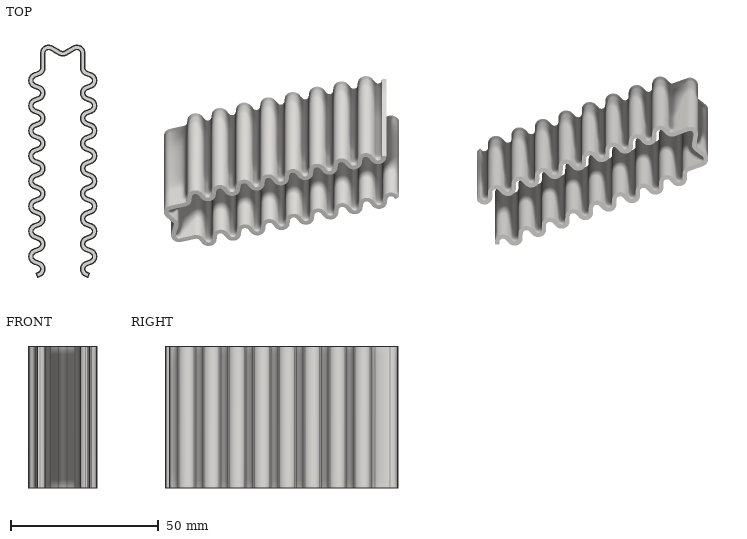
import cadquery as cq
import math

overall_width = 23.0
overall_length = 78.5
height = 48.0
thickness = 1.5
bend_radius = 2.0
wall_spacing = 13.5
wave_run = 68.0
wave_count = 8
notch_angle = 30.0

half_pitch = wave_run / wave_count / 2
wall_x = wall_spacing / 2
wave_depth = (overall_width - thickness) / 2 - wall_x
center_offset = wave_depth - 2 * bend_radius
center_distance = math.hypot(half_pitch, center_offset)
wave_straight = math.sqrt(center_distance**2 - (2 * bend_radius) ** 2)
wave_slope = math.degrees(
    math.acos(2 * bend_radius / center_distance) - math.atan2(center_offset, half_pitch)
)
crest_turn = 180 - 2 * wave_slope

notch_sin = math.sin(math.radians(notch_angle))
notch_cos = math.cos(math.radians(notch_angle))
shoulder_x = wall_x - bend_radius
notch_straight = (shoulder_x - 2 * bend_radius * notch_sin) / notch_cos
notch_depth = 2 * bend_radius * (1 - notch_cos) + notch_straight * notch_sin

tip_drop = thickness / 2 * math.cos(math.radians(wave_slope))
wave_length = wave_run + half_pitch / 2 + tip_drop
shoulder_height = bend_radius + thickness / 2
wall_length = overall_length - wave_length - shoulder_height


def half_strip_moves():
    """Straights and bends from the middle of the notch to the right leg tip; left turns are positive."""
    moves = [
        ("bend", notch_angle),
        ("straight", notch_straight),
        ("bend", -(90 + notch_angle)),
        ("straight", wall_length),
        ("bend", 90 - wave_slope),
    ]
    for _ in range(wave_count):
        moves += [
            ("straight", wave_straight),
            ("bend", -crest_turn),
            ("straight", wave_straight),
            ("bend", crest_turn),
        ]
    moves.append(("straight", wave_straight / 2))
    return moves


def step(point, heading, distance):
    """Point reached by travelling a distance along a heading in degrees."""
    angle = math.radians(heading)
    return (point[0] + distance * math.cos(angle), point[1] + distance * math.sin(angle))


def trace(moves, start):
    """Mid-line that leaves the start along +X and follows the moves."""
    path = cq.Workplane("XY").moveTo(*start)
    point = start
    heading = 0.0
    for kind, amount in moves:
        if kind == "straight":
            point = step(point, heading, amount)
            path = path.lineTo(*point)
        else:
            chord = 2 * bend_radius * math.sin(math.radians(abs(amount) / 2))
            half_chord = 2 * bend_radius * math.sin(math.radians(abs(amount) / 4))
            middle = step(point, heading + amount / 4, half_chord)
            point = step(point, heading + amount / 2, chord)
            path = path.threePointArc(middle, point)
            heading += amount
    return path


notch_y = overall_length / 2 - thickness / 2 - notch_depth
mid_line = trace(half_strip_moves(), (0, notch_y))

section = cq.Workplane("YZ").center(notch_y, height / 2).rect(thickness, height)
right_half = section.sweep(mid_line)
result = right_half.union(right_half.mirror("YZ")).clean()